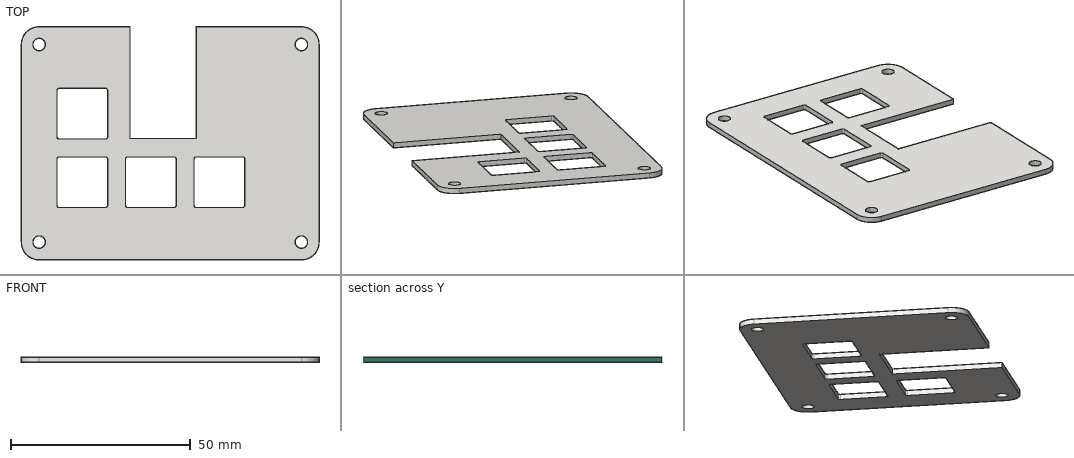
import cadquery as cq

length = 83.0
width = 65.0
thickness = 1.5
corner_radius = 5.0

hole_diameter = 3.4

switch_size = 14.0
switch_pitch = 19.1
switch_corner_radius = 0.5
first_switch_x = 17.0
first_switch_y = 21.7
switch_cells = [(0, 0), (1, 0), (2, 0), (0, 1)]

notch_left = 30.3
notch_width = 18.4
notch_depth = 31.1


def make_plate():
    plate = cq.Workplane("XY").box(length, width, thickness, centered=False)
    return plate.edges("|Z").fillet(corner_radius)


def make_mounting_holes():
    centers = [
        (x, y)
        for x in (corner_radius, length - corner_radius)
        for y in (corner_radius, width - corner_radius)
    ]
    return cq.Workplane("XY").pushPoints(centers).circle(hole_diameter / 2).extrude(thickness)


def make_switch_cutouts():
    centers = [
        (first_switch_x + column * switch_pitch, first_switch_y + row * switch_pitch)
        for column, row in switch_cells
    ]
    cutouts = cq.Workplane("XY").pushPoints(centers).rect(switch_size, switch_size).extrude(thickness)
    return cutouts.edges("|Z").fillet(switch_corner_radius)


def make_notch():
    notch = cq.Workplane("XY").box(notch_width, notch_depth, thickness, centered=False)
    return notch.translate((notch_left, width - notch_depth, 0))


result = make_plate().cut(make_mounting_holes()).cut(make_switch_cutouts()).cut(make_notch())